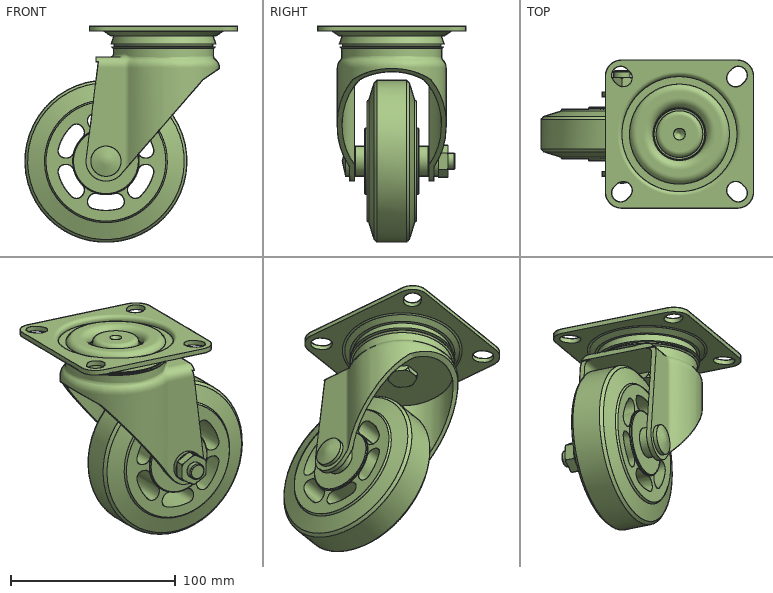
import cadquery as cq
import math


PLATE_SIDE = 90.0
PLATE_CORNER_RADIUS = 10.0
SHEET = 3.0
SLOT_PITCH = 69.8
SLOT_WIDTH = 10.8
SLOT_LENGTH = 13.0
GROOVE_EDGE_RADIUS = 37.5
GROOVE_FLOOR_RADIUS = 34.9
GROOVE_DEPTH = 3.3
CROWN_ROUND = 4.7
CROWN_FLAT_OUTER = 25.9
CROWN_FLAT_INNER = 21.7
MOUTH_RADIUS = 16.0
PLATE_BORE_RADIUS = 15.4
DISH_OPENING_RADIUS = 39.4
DISH_RADIUS = 36.4
DISH_FLOOR_RADIUS = 31.9
DISH_BOTTOM = -6.0
SKIRT_TOP_RADIUS = 30.2
SKIRT_BOTTOM_RADIUS = 31.9
SKIRT_BOTTOM = -11.0
WAIST_RADIUS = 29.9
SWIVEL_JOINT = -12.1

NECK_RADIUS = 30.5
LIP_RADIUS = 31.5
LIP_TOP = -12.6
LIP_BOTTOM = -13.7
FORK_TOP = -18.8
NECK_FILLET = 2.0
FORK_FRONT = -41.0
LEG_SETBACK = 1.3
LEG_OUTER_Y = 25.6
BEND_RADIUS = 6.5
CORNER_BEND_RADIUS = 4.3
HOOD_RADIUS = 33.1
HOOD_FRONT_CENTER_X = -0.8
HOOD_REAR_CENTER_X = 0.9
HOOD_REAR_BOTTOM = -25.7
HOOD_KINK_X = 24.0
HOOD_KINK_Z = -32.5

AXLE_X = -34.9
AXLE_Z = -82.0
WHEEL_RADIUS = 49.2
TREAD_HALF_WIDTH = 8.9
TREAD_SIDE_RADIUS = 47.5
TREAD_SIDE_HALF_WIDTH = 10.8
TREAD_ROOT_HALF_WIDTH = 13.9
RIM_RADIUS = 37.3
RIM_HALF_WIDTH = 15.1
RIM_CHAMFER = 0.9
HUB_RADIUS = 20.2
HUB_HALF_WIDTH = 16.4
HUB_CHAMFER = 0.5
WINDOW_COUNT = 6
WINDOW_INNER_RADIUS = 20.3
WINDOW_OUTER_RADIUS = 29.8
SPOKE_WIDTH = 4.1
WINDOW_CORNER = 4.3

AXLE_RADIUS = 5.0
AXLE_END_Y = 38.5
AXLE_END_CHAMFER = 0.7
LEG_END_RADIUS = 12.1
COLLAR_RADIUS = 9.2
SLEEVE_CHAMFER = 0.7
WASHER_THICKNESS = 2.6
NUT_THICKNESS = 6.0
NUT_ACROSS_CORNERS = 19.5
NUT_CHAMFER = 0.5
HEAD_RIM = 2.4
HEAD_CONE = 2.1

PIN_TOP = -0.5
PIN_HEAD_RADIUS = 14.2
PIN_HEAD_FILLET = 3.2
PIN_SHANK_RADIUS = 6.5
CENTER_HOLE_RADIUS = 3.5
CENTER_HOLE_DEPTH = 3.5
PIN_NUT_HEIGHT = 3.4
PIN_NUT_ACROSS_CORNERS = 18.6
PIN_NUT_CHAMFER_HEIGHT = 2.1
PIN_NUT_CHAMFER_WIDTH = 0.8

LEG_INNER_Y = LEG_OUTER_Y - SHEET
FORK_UNDERSIDE = FORK_TOP - SHEET
FORK_SIDE_BOTTOM = AXLE_Z - LEG_END_RADIUS


def tangent_point(point, center, radius, side):
    """Point where a line from `point` touches a circle; `side` is +1 or -1 for the two tangents."""
    dx = point[0] - center[0]
    dz = point[1] - center[1]
    angle = math.atan2(dz, dx) + side * math.acos(radius / math.hypot(dx, dz))
    return (center[0] + radius * math.cos(angle), center[1] + radius * math.sin(angle))


def cylinder(radius, bottom, top):
    return cq.Workplane("XY").workplane(offset=bottom).circle(radius).extrude(top - bottom)


def cylinder_on_axle(radius, y_start, y_end):
    """Cylinder along +Y around the wheel axle."""
    plane = cq.Workplane("XZ", origin=(AXLE_X, y_start, AXLE_Z))
    return plane.circle(radius).extrude(y_start - y_end)


def hex_nut(across_corners, height, chamfer_height, chamfer_width):
    """Hexagon nut standing on Z = 0 with two corners on the Y axis and its upper rim turned off."""
    hexagon = cq.Workplane("XY").transformed(rotate=(0, 0, 90)).polygon(6, across_corners).extrude(height)
    turned = cylinder(across_corners / 2, 0, height)
    turned = turned.faces(">Z").chamfer(chamfer_height, chamfer_width)
    return hexagon.intersect(turned)


def arc_point(center, radius, degrees):
    angle = math.radians(degrees)
    return (center[0] + radius * math.cos(angle), center[1] + radius * math.sin(angle))


def plate_swivel_head():
    """Pressed dish, raised ring and dust skirt, turned about the swivel axis."""
    crown_center = (CROWN_FLAT_OUTER, -CROWN_ROUND)
    crown_foot_angle = math.degrees(math.asin((CROWN_ROUND - GROOVE_DEPTH) / CROWN_ROUND))
    crown_foot = arc_point(crown_center, CROWN_ROUND, crown_foot_angle)
    crown_middle = arc_point(crown_center, CROWN_ROUND, (90 + crown_foot_angle) / 2)
    funnel_round = CROWN_FLAT_INNER - MOUTH_RADIUS
    funnel_center = (CROWN_FLAT_INNER, -funnel_round)
    groove_round = GROOVE_EDGE_RADIUS - GROOVE_FLOOR_RADIUS
    groove_wall_middle = arc_point((GROOVE_EDGE_RADIUS, -groove_round), groove_round, 135)
    return (
        cq.Workplane("XZ")
        .moveTo(PLATE_BORE_RADIUS, -funnel_round)
        .lineTo(MOUTH_RADIUS, -funnel_round)
        .threePointArc(arc_point(funnel_center, funnel_round, 135), (CROWN_FLAT_INNER, 0))
        .lineTo(CROWN_FLAT_OUTER, 0)
        .threePointArc(crown_middle, crown_foot)
        .lineTo(GROOVE_FLOOR_RADIUS, -GROOVE_DEPTH)
        .lineTo(GROOVE_FLOOR_RADIUS, -groove_round)
        .threePointArc(groove_wall_middle, (GROOVE_EDGE_RADIUS, 0))
        .lineTo(DISH_OPENING_RADIUS, 0)
        .lineTo(DISH_OPENING_RADIUS, -SHEET)
        .lineTo(DISH_RADIUS, -SHEET)
        .lineTo(DISH_FLOOR_RADIUS, DISH_BOTTOM)
        .lineTo(SKIRT_TOP_RADIUS, DISH_BOTTOM)
        .lineTo(SKIRT_BOTTOM_RADIUS, SKIRT_BOTTOM)
        .lineTo(WAIST_RADIUS, SKIRT_BOTTOM)
        .lineTo(WAIST_RADIUS, SWIVEL_JOINT)
        .lineTo(PLATE_BORE_RADIUS, SWIVEL_JOINT)
        .close()
        .revolve(360, (0, 0, 0), (0, 1, 0))
    )


def make_plate():
    sheet = (
        cq.Workplane("XY")
        .rect(PLATE_SIDE, PLATE_SIDE)
        .extrude(-SHEET)
        .edges("|Z")
        .fillet(PLATE_CORNER_RADIUS)
        .cut(cylinder(DISH_OPENING_RADIUS, -SHEET, 0))
    )
    for x_side in (-1, 1):
        for y_side in (-1, 1):
            slot = (
                cq.Workplane("XY")
                .center(x_side * SLOT_PITCH / 2, y_side * SLOT_PITCH / 2)
                .slot2D(SLOT_LENGTH, SLOT_WIDTH, 45 * x_side * y_side)
                .extrude(-SHEET)
            )
            sheet = sheet.cut(slot)
    return sheet.union(plate_swivel_head())


def fork_block(inset):
    """Leg box and oval hood, each moved inwards by `inset` on every face but the open front."""
    top = FORK_TOP - inset
    height = top - FORK_SIDE_BOTTOM
    leg_front_x = AXLE_X - LEG_END_RADIUS
    box = cq.Workplane("XY").box(
        HOOD_REAR_CENTER_X - leg_front_x,
        2 * (LEG_OUTER_Y - inset),
        height,
        centered=(False, True, False),
    )
    box = box.translate((leg_front_x, 0, FORK_SIDE_BOTTOM))
    center_spacing = HOOD_REAR_CENTER_X - HOOD_FRONT_CENTER_X
    hood_radius = HOOD_RADIUS - inset
    hood = (
        cq.Workplane("XY", origin=(HOOD_FRONT_CENTER_X + center_spacing / 2, 0, FORK_SIDE_BOTTOM))
        .slot2D(center_spacing + 2 * hood_radius, 2 * hood_radius)
        .extrude(height)
    )
    return box, hood


def fork_outside():
    box, hood = fork_block(0)
    corner_x = HOOD_FRONT_CENTER_X - math.sqrt(HOOD_RADIUS**2 - LEG_OUTER_Y**2)
    corner_z = (FORK_TOP + FORK_SIDE_BOTTOM) / 2
    block = box.union(hood)
    for corner_y in (-LEG_OUTER_Y, LEG_OUTER_Y):
        corner = cq.selectors.NearestToPointSelector((corner_x, corner_y, corner_z))
        block = block.edges(corner).fillet(CORNER_BEND_RADIUS)
    return block.faces(">Z").edges("not <X").fillet(BEND_RADIUS)


def fork_inside():
    box, hood = fork_block(SHEET)
    return box.faces(">Z").edges("|X").fillet(BEND_RADIUS - SHEET).union(hood)


def fork_side_outline():
    """Fork silhouette across the width: top sheet, tapered legs and the sloping rear edge."""
    axle = (AXLE_X, AXLE_Z)
    leg_front = (FORK_FRONT + LEG_SETBACK, FORK_UNDERSIDE)
    hood_rear_x = HOOD_REAR_CENTER_X + HOOD_RADIUS
    hood_kink = (HOOD_KINK_X, HOOD_KINK_Z)
    front_touch = tangent_point(leg_front, axle, LEG_END_RADIUS, 1)
    rear_touch = tangent_point(hood_kink, axle, LEG_END_RADIUS, -1)
    return (
        cq.Workplane("XZ")
        .moveTo(FORK_FRONT, FORK_TOP)
        .lineTo(FORK_FRONT, FORK_UNDERSIDE)
        .lineTo(*leg_front)
        .lineTo(*front_touch)
        .threePointArc((AXLE_X, FORK_SIDE_BOTTOM), rear_touch)
        .lineTo(*hood_kink)
        .lineTo(hood_rear_x, HOOD_REAR_BOTTOM)
        .lineTo(hood_rear_x, FORK_TOP)
        .close()
        .extrude(HOOD_RADIUS, both=True)
    )


def fork_neck():
    """Swivel neck with its running lip, standing on the fork top."""
    return (
        cq.Workplane("XZ")
        .moveTo(0, SWIVEL_JOINT)
        .lineTo(WAIST_RADIUS, SWIVEL_JOINT)
        .lineTo(WAIST_RADIUS, LIP_TOP)
        .lineTo(LIP_RADIUS, LIP_TOP)
        .lineTo(NECK_RADIUS, LIP_BOTTOM)
        .lineTo(NECK_RADIUS, FORK_UNDERSIDE)
        .lineTo(0, FORK_UNDERSIDE)
        .close()
        .revolve(360, (0, 0, 0), (0, 1, 0))
    )


def make_fork():
    shell = fork_outside().cut(fork_inside())
    shell = shell.intersect(fork_side_outline())
    fork = shell.union(fork_neck())
    neck_root = cq.selectors.NearestToPointSelector((-NECK_RADIUS, 0, FORK_TOP))
    fork = fork.edges(neck_root).fillet(NECK_FILLET)
    fork = fork.cut(cylinder(PIN_SHANK_RADIUS, FORK_UNDERSIDE, SWIVEL_JOINT))
    return fork.cut(cylinder_on_axle(AXLE_RADIUS, -LEG_OUTER_Y, LEG_OUTER_Y))


def wheel_profile():
    """Closed section as (distance from mid plane, radius), symmetrical about the mid plane."""
    half = [
        (TREAD_HALF_WIDTH, WHEEL_RADIUS),
        (TREAD_SIDE_HALF_WIDTH, TREAD_SIDE_RADIUS),
        (TREAD_ROOT_HALF_WIDTH, RIM_RADIUS),
        (RIM_HALF_WIDTH, RIM_RADIUS - RIM_CHAMFER),
        (RIM_HALF_WIDTH, HUB_RADIUS),
        (HUB_HALF_WIDTH - HUB_CHAMFER, HUB_RADIUS),
        (HUB_HALF_WIDTH, HUB_RADIUS - HUB_CHAMFER),
        (HUB_HALF_WIDTH, COLLAR_RADIUS),
    ]
    other_half = [(-distance, radius) for distance, radius in reversed(half)]
    return half + other_half


def wheel_windows():
    """Ring-sector openings between the spokes, through the whole web."""
    ring = (
        cq.Workplane("XZ", origin=(AXLE_X, 0, AXLE_Z))
        .circle(WINDOW_OUTER_RADIUS)
        .circle(WINDOW_INNER_RADIUS)
        .extrude(HUB_HALF_WIDTH, both=True)
    )
    for index in range(WINDOW_COUNT):
        spoke = (
            cq.Workplane("XZ", origin=(AXLE_X, 0, AXLE_Z))
            .transformed(rotate=(0, 0, index * 360 / WINDOW_COUNT))
            .center(WINDOW_OUTER_RADIUS / 2, 0)
            .rect(WINDOW_OUTER_RADIUS * 1.5, SPOKE_WIDTH)
            .extrude(HUB_HALF_WIDTH, both=True)
        )
        ring = ring.cut(spoke)
    return ring.edges("|Y").fillet(WINDOW_CORNER)


def make_wheel():
    wheel = (
        cq.Workplane("YZ", origin=(AXLE_X, 0, AXLE_Z))
        .polyline(wheel_profile())
        .close()
        .revolve(360, (0, 0, 0), (1, 0, 0))
    )
    return wheel.cut(wheel_windows())


def bolt_head():
    rim_y = -LEG_OUTER_Y - HEAD_RIM
    return (
        cq.Workplane("YZ", origin=(AXLE_X, 0, AXLE_Z))
        .moveTo(-LEG_OUTER_Y, 0)
        .lineTo(-LEG_OUTER_Y, COLLAR_RADIUS)
        .lineTo(rim_y, COLLAR_RADIUS)
        .lineTo(rim_y - HEAD_CONE, 0)
        .close()
        .revolve(360, (0, 0, 0), (1, 0, 0))
    )


def axle_nut(y_start):
    nut = hex_nut(NUT_ACROSS_CORNERS, NUT_THICKNESS, NUT_CHAMFER, NUT_CHAMFER)
    nut = nut.rotate((0, 0, 0), (0, 0, 1), 90).rotate((0, 0, 0), (1, 0, 0), -90)
    return nut.rotate((0, 0, 0), (0, 1, 0), 90).translate((AXLE_X, y_start, AXLE_Z))


def make_axle():
    washer_end = LEG_OUTER_Y + WASHER_THICKNESS
    shank = cylinder_on_axle(AXLE_RADIUS, -LEG_OUTER_Y, AXLE_END_Y)
    shank = shank.faces(">Y").chamfer(AXLE_END_CHAMFER)
    sleeve = cylinder_on_axle(COLLAR_RADIUS, -LEG_INNER_Y, LEG_INNER_Y)
    sleeve = sleeve.faces("<Y or >Y").chamfer(SLEEVE_CHAMFER)
    washer = cylinder_on_axle(COLLAR_RADIUS, LEG_OUTER_Y, washer_end)
    return shank.union(sleeve).union(bolt_head()).union(washer).union(axle_nut(washer_end))


def make_kingpin():
    head = cylinder(PIN_HEAD_RADIUS, SWIVEL_JOINT, PIN_TOP)
    head = head.faces(">Z").edges().fillet(PIN_HEAD_FILLET)
    center_hole = cq.Workplane(
        cq.Solid.makeCone(
            CENTER_HOLE_RADIUS, 0, CENTER_HOLE_DEPTH, cq.Vector(0, 0, PIN_TOP), cq.Vector(0, 0, -1)
        )
    )
    shank = cylinder(PIN_SHANK_RADIUS, FORK_UNDERSIDE, SWIVEL_JOINT)
    nut = hex_nut(PIN_NUT_ACROSS_CORNERS, PIN_NUT_HEIGHT, PIN_NUT_CHAMFER_HEIGHT, PIN_NUT_CHAMFER_WIDTH)
    nut = nut.rotate((0, 0, 0), (0, 1, 0), 180).translate((0, 0, FORK_UNDERSIDE))
    return head.union(shank).union(nut).cut(center_hole)


plate = make_plate()
fork = make_fork()
wheel = make_wheel()
axle = make_axle()
kingpin = make_kingpin()

result = cq.Compound.makeCompound([plate.val(), fork.val(), wheel.val(), axle.val(), kingpin.val()])